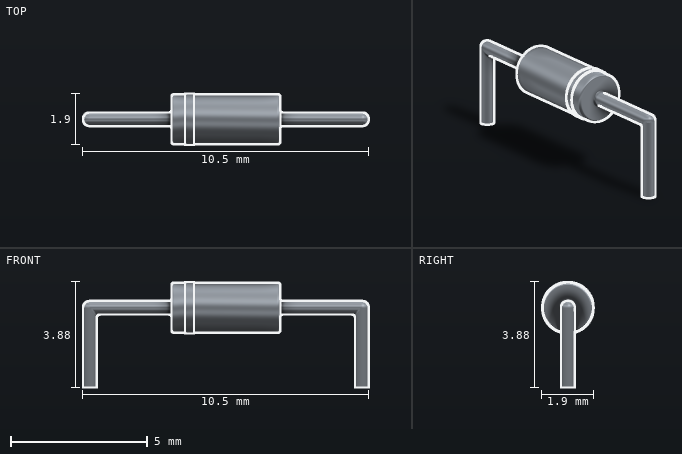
import cadquery as cq

overall_length = 10.5
body_length = 4.0
body_radius = 1.85 / 2
body_edge_fillet = 0.1

band_radius = 1.9 / 2
band_offset = 0.5
band_width = 0.33

wire_radius = 0.51 / 2
wire_root_fillet = 0.07
bend_inner_fillet = 0.1
overall_height = 3.88

leg_x = overall_length / 2 - wire_radius
leg_length = overall_height - band_radius


def cylinder_along_x(radius, x_start, length):
    return cq.Workplane("YZ", origin=(x_start, 0, 0)).circle(radius).extrude(length)


def make_bent_wire():
    """One continuous wire: a horizontal run, two legs and rounded outer corners."""
    wire = cylinder_along_x(wire_radius, -leg_x, 2 * leg_x)
    for x in (-leg_x, leg_x):
        leg = cq.Workplane("XY", origin=(x, 0, 0)).circle(wire_radius).extrude(-leg_length)
        corner = cq.Workplane("XY", origin=(x, 0, 0)).sphere(wire_radius)
        wire = wire.union(leg).union(corner)
    for side in (-1, 1):
        inner_corner = (side * (leg_x - wire_radius), 0, -wire_radius)
        wire = wire.edges(cq.selectors.NearestToPointSelector(inner_corner)).fillet(bend_inner_fillet)
    return wire


def make_body():
    """Cylinder with rounded end edges and a slightly raised band near the -X end."""
    body = cylinder_along_x(body_radius, -body_length / 2, body_length)
    body = body.faces("<X or >X").edges().fillet(body_edge_fillet)
    band = cylinder_along_x(band_radius, -body_length / 2 + band_offset, band_width)
    return body.union(band)


def make_root_flare(side):
    """Concave ring blending the wire into the end face on the given side (-1 or +1)."""
    face_x = side * body_length / 2
    tip_x = face_x + side * wire_root_fillet
    flare_radius = wire_radius + wire_root_fillet
    arc_reach = wire_root_fillet * 0.5 ** 0.5
    return (
        cq.Workplane("XY")
        .moveTo(face_x, 0)
        .lineTo(face_x, flare_radius)
        .threePointArc((tip_x - side * arc_reach, flare_radius - arc_reach), (tip_x, wire_radius))
        .lineTo(tip_x, 0)
        .close()
        .revolve(360, (0, 0, 0), (1, 0, 0))
    )


result = make_body().union(make_bent_wire())
for end_side in (-1, 1):
    result = result.union(make_root_flare(end_side))